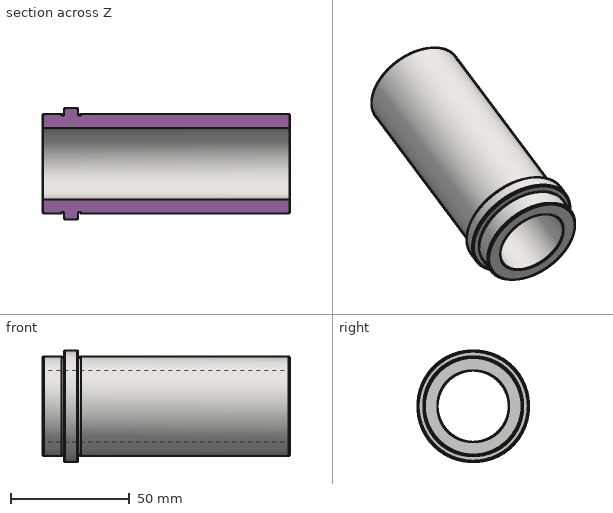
import cadquery as cq

length = 104.0
bore_diameter = 30.0
body_diameter = 42.0
collar_diameter = 47.0

front_groove_start = 8.0
collar_start = 8.9
collar_end = 15.0
rear_groove_end = 16.1

groove_depth = 0.5
collar_chamfer = 0.5
spigot_chamfer = 0.5
tail_chamfer = 0.6
bore_chamfer = 0.2

body_radius = body_diameter / 2
collar_radius = collar_diameter / 2
groove_radius = body_radius - groove_depth


def make_outside():
    """Revolve the half outline (X along the axis, Y as radius) about the X axis."""
    front_groove_middle = (front_groove_start + collar_start) / 2
    rear_groove_middle = (collar_end + rear_groove_end) / 2
    outline = (
        cq.Workplane("XY")
        .lineTo(0, body_radius - spigot_chamfer)
        .lineTo(spigot_chamfer, body_radius)
        .lineTo(front_groove_start, body_radius)
        .threePointArc((front_groove_middle, groove_radius), (collar_start, body_radius))
        .lineTo(collar_start, collar_radius - collar_chamfer)
        .lineTo(collar_start + collar_chamfer, collar_radius)
        .lineTo(collar_end - collar_chamfer, collar_radius)
        .lineTo(collar_end, collar_radius - collar_chamfer)
        .lineTo(collar_end, body_radius)
        .threePointArc((rear_groove_middle, groove_radius), (rear_groove_end, body_radius))
        .lineTo(length - tail_chamfer, body_radius)
        .lineTo(length, body_radius - tail_chamfer)
        .lineTo(length, 0)
        .close()
    )
    return outline.revolve(360, (0, 0, 0), (1, 0, 0))


def make_bore():
    """Through bore along the X axis, with its edge broken at the spigot face."""
    bore_radius = bore_diameter / 2
    outline = cq.Workplane("XY").polyline([
        (0, 0),
        (0, bore_radius + bore_chamfer),
        (bore_chamfer, bore_radius),
        (length, bore_radius),
        (length, 0),
    ]).close()
    return outline.revolve(360, (0, 0, 0), (1, 0, 0))


result = make_outside().cut(make_bore())